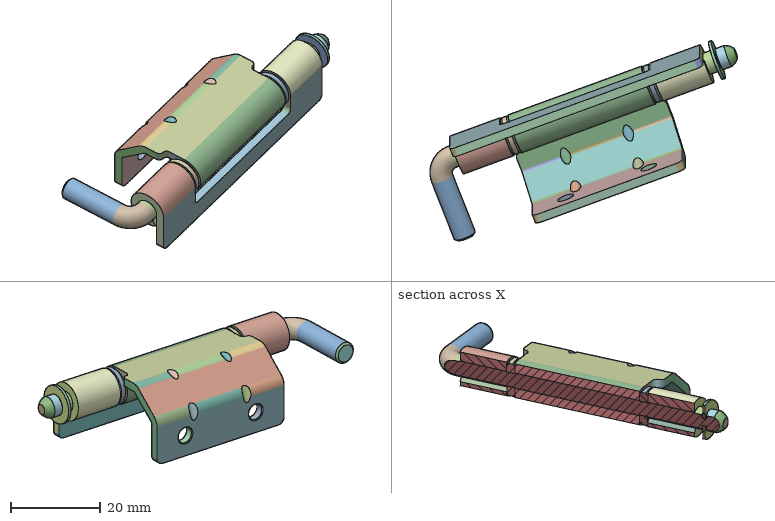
import cadquery as cq
import math


overall_width = 23.1
overall_length = 74.5
overall_height = 17.1
thickness = 2.0
pin_radius = 2.5
bore_radius = pin_radius
roll_radius = bore_radius + thickness
roll_gap_angle = 60

inner_leaf_length = 36.05
inner_roll_length = 32
inner_leg_x = -17.95
inner_leg_bottom = roll_radius - overall_height
inner_leg_corner_radius = 1.65
top_bend_x = -10.35
slope_angle = 40
bend_outer_radius = 3
bend_inner_radius = bend_outer_radius - thickness
notch_step = 5.2

hole_radius = 1.85
hole_chamfer = 0.2
hole_chamfer_angle = 90
hole_z = -7.5
hole_spacing = 20.0

bead_spacing = 15.05
bead_radius = 1.35
bead_length = 11.9
bead_wall = 2.2
top_bead_depth = 0.6
top_bead_angle = 20
leg_bead_depth = 0.9
leg_bead_angle = 70

outer_leaf_length = 60.0
outer_leaf_height = 14.9
outer_leg_bottom = roll_radius - outer_leaf_height
outer_leg_corner_radius = 1.3

spacer_thickness = (inner_leaf_length - inner_roll_length) / 2
spacer_radius = 4.4
spacer_chamfer = 0.45
notch_fillet = spacer_thickness / 2

pin_tip_y = 36.95
handle_y = pin_tip_y + pin_radius - overall_length
handle_end_x = roll_radius - overall_width
handle_bend_radius = 3.95
handle_chamfer = 0.45
nose_length = 1.85
nose_tip_radius = 1.2
nose_arc_radius = 3.7

ring_y = 32.4
ring_thickness = 0.7
groove_width = 1.05
groove_radius = 2.0


def polar(radius, angle):
    """Point in the XZ plane at an angle from +X toward +Z."""
    return (radius * math.cos(math.radians(angle)), radius * math.sin(math.radians(angle)))


def profile_plane(y):
    """XZ plane at a given Y; positive extrusions run toward -Y."""
    return cq.Workplane("XZ", origin=(0, y, 0))


def cylinder_y(radius, y_center, length):
    return profile_plane(y_center + length / 2).circle(radius).extrude(length)


def roll(start_angle, end_angle, y_center, length):
    """Sheet rolled around the pin from one angle to another."""
    middle_angle = (start_angle + end_angle) / 2
    return (
        profile_plane(y_center + length / 2)
        .moveTo(*polar(roll_radius, start_angle))
        .threePointArc(polar(roll_radius, middle_angle), polar(roll_radius, end_angle))
        .lineTo(*polar(bore_radius, end_angle))
        .threePointArc(polar(bore_radius, middle_angle), polar(bore_radius, start_angle))
        .close()
        .extrude(length)
    )


leg_bend_z = roll_radius - (top_bend_x - inner_leg_x) * math.tan(math.radians(slope_angle))
top_bend_shift = thickness * math.tan(math.radians(slope_angle / 2))
leg_bend_shift = thickness * math.tan(math.radians((90 - slope_angle) / 2))

outer_top_corner = (top_bend_x, roll_radius)
outer_leg_corner = (inner_leg_x, leg_bend_z)
inner_top_corner = (top_bend_x + top_bend_shift, bore_radius)
inner_leg_corner = (inner_leg_x + thickness, leg_bend_z - leg_bend_shift)


def bent_plate():
    """Flat top, slope and leg with rounded bends."""
    plate = (
        profile_plane(inner_leaf_length / 2)
        .polyline([
            (0, roll_radius),
            outer_top_corner,
            outer_leg_corner,
            (inner_leg_x, inner_leg_bottom),
            (inner_leg_x + thickness, inner_leg_bottom),
            inner_leg_corner,
            inner_top_corner,
            (0, bore_radius),
        ])
        .close()
        .extrude(inner_leaf_length)
    )
    bends = [
        (outer_top_corner, bend_outer_radius),
        (outer_leg_corner, bend_outer_radius),
        (inner_top_corner, bend_inner_radius),
        (inner_leg_corner, bend_inner_radius),
    ]
    for (x, z), radius in bends:
        plate = plate.edges(cq.selectors.NearestToPointSelector((x, 0, z))).fillet(radius)
    return plate.faces("<Z").edges("|X").fillet(inner_leg_corner_radius)


def spacer_notch(side):
    """Clearance for a spacer at one end of the flat top, with an S-shaped corner."""
    edge = inner_leaf_length / 2
    middle = edge - notch_fillet
    floor = inner_roll_length / 2
    diagonal = notch_fillet * math.sqrt(0.5)
    convex_center_x = -notch_step - notch_fillet
    concave_center_x = -notch_step + notch_fillet
    return (
        cq.Workplane("XY")
        .moveTo(convex_center_x, side * edge)
        .threePointArc(
            (convex_center_x + diagonal, side * (middle + diagonal)),
            (-notch_step, side * middle),
        )
        .threePointArc(
            (concave_center_x - diagonal, side * (middle - diagonal)),
            (concave_center_x, side * floor),
        )
        .lineTo(0, side * floor)
        .lineTo(0, side * edge)
        .close()
        .extrude(roll_radius)
    )


def bead_cylinder(corner, angle, depth, y):
    """Cylinder across a bend whose innermost line lies at a depth inside a sharp corner."""
    slant = math.radians(angle)
    inward = (math.sin(slant), -math.cos(slant))
    offset = depth - bead_radius
    center = cq.Vector(corner[0] + offset * inward[0], y, corner[1] + offset * inward[1])
    axis = cq.Vector(math.cos(slant), 0, math.sin(slant))
    start = center - axis * (bead_length / 2)
    return cq.Workplane(cq.Solid.makeCylinder(bead_radius, bead_length, start, axis))


def bend_web(upper_end, corner, lower_end, y):
    """Triangular block spanning the inside of a bend between two points on the sheet."""
    return (
        profile_plane(y + bead_radius)
        .polyline([upper_end, corner, lower_end])
        .close()
        .extrude(2 * bead_radius)
    )


def top_bead_ridge(y):
    """Ridge that the bead raises on the inside of the top bend."""
    reach = bead_length / 2
    slant = math.radians(slope_angle)
    x, z = inner_top_corner
    slope_end = (x - reach * math.cos(slant), z - reach * math.sin(slant))
    web = bend_web((x + reach, z), inner_top_corner, slope_end, y)
    return web.intersect(
        bead_cylinder(outer_top_corner, top_bead_angle, top_bead_depth + bead_wall, y)
    )


def leg_bead_ridge(y):
    """Ridge that the bead raises on the inside of the leg bend."""
    reach = bead_length / 2
    slant = math.radians(slope_angle)
    x, z = inner_leg_corner
    slope_end = (x + reach * math.cos(slant), z + reach * math.sin(slant))
    web = bend_web(slope_end, inner_leg_corner, (x, z - reach), y)
    return web.intersect(
        bead_cylinder(outer_leg_corner, leg_bead_angle, leg_bead_depth + bead_wall, y)
    )


def inner_leaf():
    leaf = bent_plate()
    for side in (-1, 1):
        leaf = leaf.cut(spacer_notch(side))
    leaf = leaf.union(roll(90, 90 - (360 - roll_gap_angle), 0, inner_roll_length))

    for y in (-bead_spacing / 2, bead_spacing / 2):
        leaf = leaf.union(top_bead_ridge(y)).union(leg_bead_ridge(y))
        leaf = leaf.cut(bead_cylinder(outer_top_corner, top_bead_angle, top_bead_depth, y))
        leaf = leaf.cut(bead_cylinder(outer_leg_corner, leg_bead_angle, leg_bead_depth, y))
    return (
        leaf.faces("<X").workplane(origin=(inner_leg_x, 0, hole_z))
        .rarray(hole_spacing, 0.75, 2, 1)
        .cskHole(2 * hole_radius, 2 * (hole_radius + hole_chamfer), hole_chamfer_angle)
    )


def outer_leaf():
    leg = (
        cq.Workplane("XY")
        .box(thickness, outer_leaf_length, -outer_leg_bottom, centered=(False, True, False))
        .translate((bore_radius, 0, outer_leg_bottom))
        .faces("<Z").edges("|X").fillet(outer_leg_corner_radius)
    )
    notch = (
        cq.Workplane("XY")
        .box(thickness, inner_leaf_length, notch_step, centered=(False, True, False))
        .translate((bore_radius, 0, -notch_step))
        .faces("<Z").edges("|X").fillet(notch_fillet)
    )
    leaf = leg.cut(notch)
    knuckle_length = (outer_leaf_length - inner_leaf_length) / 2
    knuckle_y = (outer_leaf_length - knuckle_length) / 2
    for y in (-knuckle_y, knuckle_y):
        leaf = leaf.union(roll(0, 360 - roll_gap_angle, y, knuckle_length))
    return leaf


def pin():
    bend_y = handle_y + handle_bend_radius
    diagonal = handle_bend_radius * math.sqrt(0.5)
    path = (
        cq.Workplane("XY")
        .moveTo(0, pin_tip_y - nose_length)
        .lineTo(0, bend_y)
        .threePointArc((diagonal - handle_bend_radius, bend_y - diagonal), (-handle_bend_radius, handle_y))
        .lineTo(handle_end_x, handle_y)
    )
    body = (
        profile_plane(pin_tip_y - nose_length)
        .circle(pin_radius)
        .sweep(path)
        .faces("<X").chamfer(handle_chamfer)
    )
    nose = (
        cq.Workplane("XY")
        .moveTo(0, pin_tip_y - nose_length)
        .lineTo(pin_radius, pin_tip_y - nose_length)
        .radiusArc((nose_tip_radius, pin_tip_y), -nose_arc_radius)
        .lineTo(0, pin_tip_y)
        .close()
        .revolve(360, (0, 0, 0), (0, 1, 0))
    )
    groove = cylinder_y(pin_radius, ring_y, groove_width).cut(
        cylinder_y(groove_radius, ring_y, groove_width)
    )
    return body.union(nose).cut(groove)


def spacer(y):
    disc = cylinder_y(spacer_radius, y, spacer_thickness).edges().chamfer(spacer_chamfer)
    return disc.cut(cylinder_y(bore_radius, y, spacer_thickness))


def retaining_ring():
    return cylinder_y(roll_radius, ring_y, ring_thickness).cut(
        cylinder_y(groove_radius, ring_y, ring_thickness)
    )


spacer_y = (inner_leaf_length - spacer_thickness) / 2
spacers = [spacer(y) for y in (-spacer_y, spacer_y)]

result = cq.Compound.makeCompound([
    inner_leaf().val(),
    outer_leaf().val(),
    pin().val(),
    retaining_ring().val(),
    *[ring.val() for ring in spacers],
])